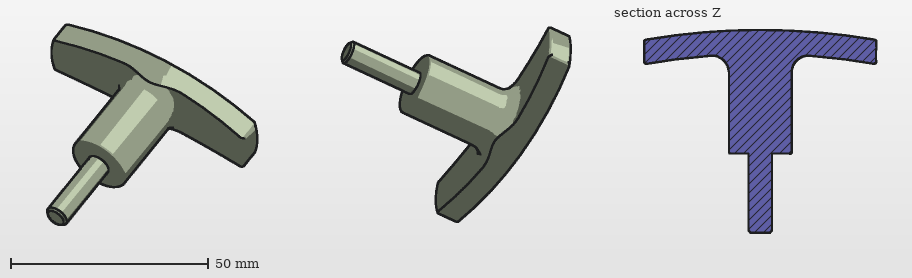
import cadquery as cq

grip_length = 58.95
grip_height = 17.4
grip_thickness = 6.1
back_radius = 170.9
back_crown_radius = 212.15
shoulder_x = 28.7
shoulder_half_height = 6.05
end_round = 0.7

stem_diameter = 16.0
stem_end_depth = 31.45
stem_blend_radius = 4.1
stem_edge_round = 0.55
pin_diameter = 6.0
total_depth = 51.45
pin_chamfer = 0.6

blank_half_height = 15.7
blank_sweep_angle = 24.0
junction_margin = 1.2
trim_clearance = 0.6


def bowed_blank():
    """Bar taller and longer than the grip, revolved about a vertical bow axis."""
    crown_drop = back_crown_radius - (back_crown_radius**2 - blank_half_height**2) ** 0.5
    profile = (
        cq.Workplane("YZ")
        .moveTo(-crown_drop, -blank_half_height)
        .threePointArc((0, 0), (-crown_drop, blank_half_height))
        .lineTo(-grip_thickness, blank_half_height)
        .lineTo(-grip_thickness, -blank_half_height)
        .close()
    )
    return profile.revolve(
        blank_sweep_angle, (-back_radius, 0), (-back_radius, 1)
    ).rotate((0, -back_radius, 0), (0, -back_radius, 1), -blank_sweep_angle / 2)


def round_bar(diameter, start_depth, end_depth):
    """Cylinder on the Y axis between two depths below the back of the grip."""
    return (
        cq.Workplane("XZ", origin=(0, -start_depth, 0))
        .circle(diameter / 2)
        .extrude(end_depth - start_depth)
    )


def outline_prism():
    """Barrel outline of the grip, extruded through the grip and stem."""
    half_length = grip_length / 2
    half_height = grip_height / 2
    return (
        cq.Workplane("XZ", origin=(0, trim_clearance, 0))
        .moveTo(-shoulder_x, shoulder_half_height)
        .threePointArc((0, half_height), (shoulder_x, shoulder_half_height))
        .threePointArc((half_length, 0), (shoulder_x, -shoulder_half_height))
        .threePointArc((0, -half_height), (-shoulder_x, -shoulder_half_height))
        .threePointArc((-half_length, 0), (-shoulder_x, shoulder_half_height))
        .close()
        .extrude(trim_clearance + total_depth)
    )


stem = round_bar(stem_diameter, grip_thickness / 2, stem_end_depth)
stem = stem.faces("<Y").edges().fillet(stem_edge_round)
junction_box = cq.selectors.BoxSelector(
    (-stem_diameter, -grip_thickness - junction_margin, -stem_diameter),
    (stem_diameter, -grip_thickness + junction_margin, stem_diameter),
    boundingbox=True,
)
body = bowed_blank().union(stem).edges(junction_box).fillet(stem_blend_radius)
body = body.intersect(outline_prism())

body = body.faces("<X or >X").edges().fillet(end_round)

pin = round_bar(pin_diameter, stem_end_depth - grip_thickness, total_depth)
pin = pin.faces("<Y").edges().chamfer(pin_chamfer)

result = body.union(pin)